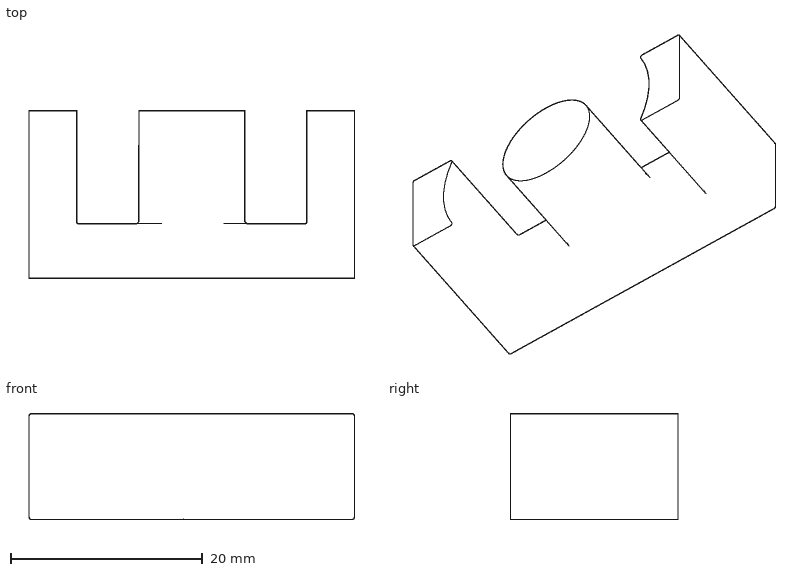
import cadquery as cq
import math

length = 34.0
depth = 17.5
height = 11.1
half_height = height / 2

post_radius = half_height
leg_bore_radius = 13.1
window_floor = 5.7

slope_start = 1.95
slope_angle = 5.0
slope_rate = math.tan(math.radians(slope_angle))
slope_drop = (window_floor - slope_start) * slope_rate

leg_edge_radius = 0.27
web_edge_radius = 0.4
root_radius = 0.35

tall_half_height = half_height + slope_start * slope_rate
margin = 0.05


def box_from_back(box_height):
    """Block over the full length and depth, with its closed face on y = 0."""
    return cq.Workplane("XY").box(length, depth, box_height).translate((0, depth / 2, 0))


def cylinder_along_y(radius):
    """Solid cylinder on the Y axis through the full depth."""
    return cq.Workplane("XZ").circle(radius).extrude(-depth)


def web():
    """Back wall, thinning towards the window, with rounded edges at the window floor."""
    floor_half_height = half_height - slope_drop
    profile = [
        (0, -tall_half_height),
        (window_floor, -floor_half_height),
        (window_floor, floor_half_height),
        (0, tall_half_height),
    ]
    wall = cq.Workplane("YZ").polyline(profile).close().extrude(length / 2, both=True)
    return wall.edges("|X and >Y").fillet(web_edge_radius)


def legs():
    """Blocks left on both sides of the bore around the post, with rounded inner edges."""
    edge_x = math.sqrt(leg_bore_radius**2 - half_height**2)
    sharp_legs = box_from_back(height).cut(cylinder_along_y(leg_bore_radius))
    inner_edges = cq.selectors.BoxSelector(
        (-edge_x - margin, 0, -height), (edge_x + margin, depth, height)
    )
    return sharp_legs.edges("|Y").edges(inner_edges).fillet(leg_edge_radius)


def tall_core():
    """Web, post and legs joined with fillets where the post and legs meet the web."""
    core = web().union(legs()).union(cylinder_along_y(post_radius))
    web_region = cq.selectors.BoxSelector(
        (-leg_bore_radius - margin, margin, -half_height - margin),
        (leg_bore_radius + margin, window_floor + margin, half_height + margin),
    )
    root_edges = core.edges(web_region).edges("%ELLIPSE or %BSPLINE or %CIRCLE")
    return root_edges.fillet(root_radius)


def envelope():
    """Outer block with its four long edges along Y rounded."""
    return box_from_back(height).edges("|Y").fillet(leg_edge_radius)


result = tall_core().intersect(envelope())